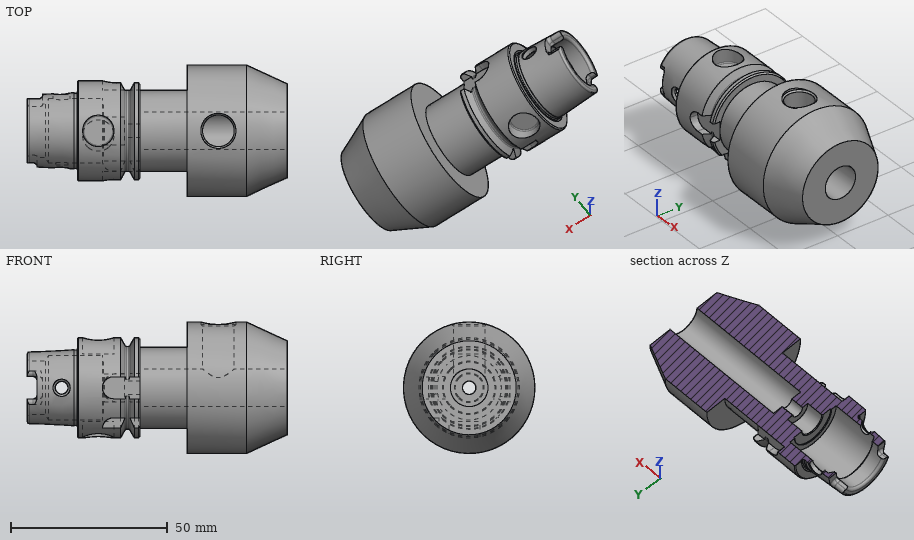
import cadquery as cq
import math


taper_length = 16.0
taper_small_radius = 11.44
taper_slope = 0.05
taper_end_round = 0.8
relief_radius = 12.065
relief_length = 1.0
face_recess_radius = 13.0
face_recess_depth = 0.2
relief_round = 0.35

flange_radius = 16.0
flange_length = 20.0
flange_front_chamfer = 0.4
flange_back_chamfer = 0.5
groove_floor_radius = 13.25
groove_floor_start = 15.4
groove_round = 0.5
groove_floor_end = 16.6
groove_wall_angle = 60.0

shaft_radius = 13.0
head_start = 35.0
head_radius = 21.0
cone_start = 54.0
head_end = 67.0
nose_radius = 15.0

mouth_radius = 8.5
mouth_round = 1.0
mouth_bore_length = 5.8
clamp_bore_radius = 10.25
clamp_shoulder_angle = 60.0
clamp_bore_end = 8.0
seat_radius = 8.2
seat_end = 8.4
tube_thread_radius = 4.46
tube_thread_mouth_radius = 4.75
tube_thread_end = 15.0
coolant_radius = 2.1
tool_bore_radius = 6.0
tool_bore_start = 20.0

end_slot_width = 7.1
end_slot_corner = 1.2
end_slot_edge_round = 1.2
end_slot_depths = {-1: 3.1, 1: 4.9}

cross_hole_x = -5.0
cross_hole_radii = {-1: 2.0, 1: 2.74}
cross_hole_mouth_radius = 2.75

drive_slot_start = 8.0
drive_slot_widths = {-1: 7.0, 1: 9.0}
drive_slot_floor = shaft_radius
notch_floor = 9.6
notch_corner = 3.5

chip_hole_x = 6.7
chip_hole_radius = 5.0
chip_hole_floor = 10.7
chip_hole_floor_round = 0.35
balance_hole_offset = -1.5

screw_x = 45.0
screw_hole_radius = 5.055
screw_mouth_radius = 5.6

margin = 5.0


def revolve_about_x(profile):
    return profile.close().revolve(360, (0, 0, 0), (1, 0, 0))


def taper_radius(x):
    return taper_small_radius + taper_slope * (x + taper_length)


def make_body():
    groove_run = (flange_radius - groove_floor_radius) / math.tan(math.radians(groove_wall_angle))
    profile = (
        cq.Workplane("XY")
        .moveTo(-taper_length, 0)
        .lineTo(-taper_length, taper_small_radius)
        .lineTo(-relief_length, taper_radius(-relief_length))
        .lineTo(-relief_length, relief_radius)
        .lineTo(face_recess_depth - relief_round, relief_radius)
        .radiusArc((face_recess_depth, relief_radius + relief_round), relief_round)
        .lineTo(face_recess_depth, face_recess_radius)
        .lineTo(0, face_recess_radius)
        .lineTo(0, flange_radius - flange_front_chamfer)
        .lineTo(flange_front_chamfer, flange_radius)
        .lineTo(groove_floor_start - groove_run, flange_radius)
        .lineTo(groove_floor_start, groove_floor_radius)
        .lineTo(groove_floor_end, groove_floor_radius)
        .lineTo(groove_floor_end + groove_run, flange_radius)
        .lineTo(flange_length - flange_back_chamfer, flange_radius)
        .lineTo(flange_length, flange_radius - flange_back_chamfer)
        .lineTo(flange_length, shaft_radius)
        .lineTo(head_start, shaft_radius)
        .lineTo(head_start, head_radius)
        .lineTo(cone_start, head_radius)
        .lineTo(head_end, nose_radius)
        .lineTo(head_end, 0)
    )
    body = revolve_about_x(profile)
    groove_corners = body.edges("%CIRCLE").filter(
        lambda edge: math.isclose(edge.radius(), groove_floor_radius)
    )
    return groove_corners.fillet(groove_round)


def make_bore():
    mouth_end = mouth_bore_length - taper_length
    tube_thread_chamfer = tube_thread_mouth_radius - tube_thread_radius
    shoulder_run = (clamp_bore_radius - mouth_radius) / math.tan(math.radians(clamp_shoulder_angle))
    profile = (
        cq.Workplane("XY")
        .moveTo(-taper_length, 0)
        .lineTo(-taper_length, mouth_radius)
        .lineTo(mouth_end, mouth_radius)
        .lineTo(mouth_end + shoulder_run, clamp_bore_radius)
        .lineTo(clamp_bore_end, clamp_bore_radius)
        .lineTo(clamp_bore_end, seat_radius)
        .lineTo(seat_end, seat_radius)
        .lineTo(seat_end, tube_thread_mouth_radius)
        .lineTo(seat_end + tube_thread_chamfer, tube_thread_radius)
        .lineTo(tube_thread_end, tube_thread_radius)
        .lineTo(tube_thread_end, coolant_radius)
        .lineTo(tool_bore_start, coolant_radius)
        .lineTo(tool_bore_start, tool_bore_radius)
        .lineTo(head_end, tool_bore_radius)
        .lineTo(head_end, 0)
    )
    return revolve_about_x(profile)


def make_end_slot(side):
    """Slot across one wall of the hollow taper, open at the small end.

    The slot flares outward so that the wall corners it leaves are rounded.
    """
    depth = end_slot_depths[side]
    half_width = end_slot_width / 2
    outer = taper_small_radius
    center_z = half_width + end_slot_edge_round
    center_y = math.sqrt((outer - end_slot_edge_round) ** 2 - center_z**2)
    angle = math.atan2(center_z, center_y)
    middle = (angle - math.pi / 2) / 2
    arc_middle_y = center_y + end_slot_edge_round * math.cos(middle)
    arc_middle_z = center_z + end_slot_edge_round * math.sin(middle)
    arc_end_y = outer * math.cos(angle)
    arc_end_z = outer * math.sin(angle)
    reach = (outer + margin) / outer
    flare = (
        cq.Workplane("YZ", (-taper_length - margin, 0, 0))
        .moveTo(0, half_width)
        .lineTo(center_y, half_width)
        .threePointArc((arc_middle_y, arc_middle_z), (arc_end_y, arc_end_z))
        .lineTo(arc_end_y * reach, arc_end_z * reach)
        .lineTo(arc_end_y * reach, -arc_end_z * reach)
        .lineTo(arc_end_y, -arc_end_z)
        .threePointArc((arc_middle_y, -arc_middle_z), (center_y, -half_width))
        .lineTo(0, -half_width)
        .close()
        .extrude(depth + margin)
    )
    corners = cq.selectors.BoxSelector(
        (depth - taper_length - 0.1, 1, -outer), (depth - taper_length + 0.1, outer, outer)
    )
    slot = flare.edges(corners).fillet(end_slot_corner)
    return slot if side > 0 else slot.mirror("XZ")


def round_taper_end(body):
    """Round the outer and inner edges of the ring-shaped end face."""
    outer = body.faces("<X").edges(cq.selectors.RadiusNthSelector(-1))
    body = outer.fillet(taper_end_round)
    inner = body.faces("<X").edges(cq.selectors.RadiusNthSelector(0))
    return inner.fillet(mouth_round)


def make_countersunk_hole(radius, mouth_radius, surface_radius):
    """Hole from the part axis up along Z, with a 45 degree sink.

    The sink starts where its rim first meets the round surface, so the mouth is a full circle.
    """
    depth = mouth_radius - radius
    sink_top = math.sqrt(surface_radius**2 - mouth_radius**2)
    profile = (
        cq.Workplane("XZ")
        .lineTo(radius, 0)
        .lineTo(radius, sink_top - depth)
        .lineTo(mouth_radius, sink_top)
        .lineTo(mouth_radius, surface_radius + margin)
        .lineTo(0, surface_radius + margin)
    )
    return profile.close().revolve(360, (0, 0, 0), (0, 1, 0))


def make_cross_hole(side):
    hole = make_countersunk_hole(
        cross_hole_radii[side], cross_hole_mouth_radius, taper_radius(cross_hole_x)
    )
    return hole.rotate((0, 0, 0), (1, 0, 0), -90 * side).translate((cross_hole_x, 0, 0))


def make_drive_slot(side):
    """Flat-floored slot in the flange, round at its front end."""
    width = drive_slot_widths[side]
    length = flange_length - drive_slot_start
    height = flange_radius - drive_slot_floor + margin
    block = (
        cq.Workplane("XY")
        .box(length, height, width, centered=(False, True, True))
        .translate((drive_slot_start, side * (drive_slot_floor + height / 2), 0))
    )
    return block.edges("<X and |Y").fillet(width / 2 - 0.001)


def make_index_notch():
    """Corner notch in the flange, between the -Y and -Z sides."""
    length = flange_length - drive_slot_start
    size = flange_radius - notch_floor + margin
    block = (
        cq.Workplane("XY")
        .box(length, size, size, centered=False)
        .translate((drive_slot_start, -notch_floor - size, -notch_floor - size))
    )
    return block.edges("<X and |Y and >Z").fillet(notch_corner)


def make_screw_hole():
    hole = make_countersunk_hole(screw_hole_radius, screw_mouth_radius, head_radius)
    return hole.translate((screw_x, 0, 0))


def make_round_pocket(y):
    """Blind pocket in the top of the flange, rounded around its floor."""
    depth = flange_radius + margin - chip_hole_floor
    pocket = cq.Workplane("XY", (chip_hole_x, y, chip_hole_floor)).circle(chip_hole_radius).extrude(depth)
    return pocket.faces("<Z").edges().fillet(chip_hole_floor_round)


body = make_body().cut(make_bore())
body = round_taper_end(body)
for side in (-1, 1):
    body = body.cut(make_end_slot(side))
    body = body.cut(make_cross_hole(side)).cut(make_drive_slot(side))
body = body.cut(make_index_notch())
body = body.cut(make_round_pocket(0))
body = body.cut(make_round_pocket(balance_hole_offset).mirror("XY"))
result = body.cut(make_screw_hole())